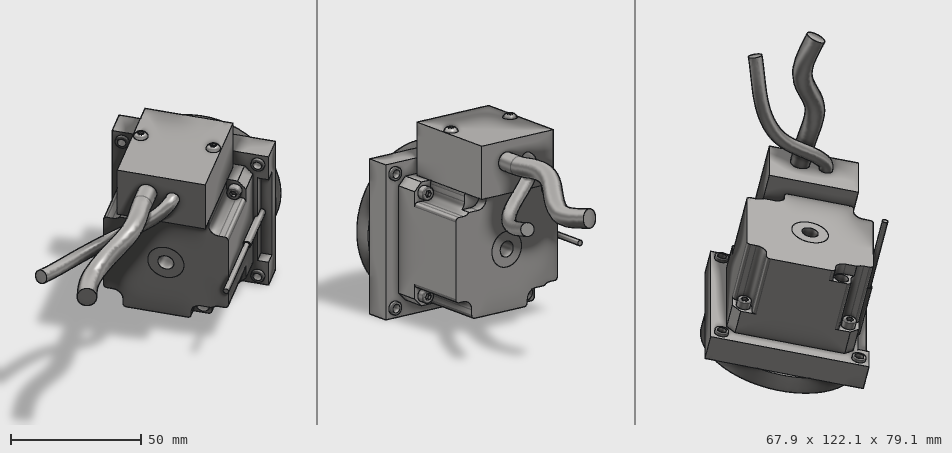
import cadquery as cq
import math


disc_radius = 31.2
disc_thickness = 7.1
neck_radius = 16.9
neck_length = 0.9
shaft_radius = 7.2
bore_radius = 3.2

plate_side = 2 * disc_radius
plate_thickness = 10.1
plate_hole_place = 27.0
plate_hole_radius = 1.7
collar_radius = 2.7
collar_height = 1.3
collar_rounding = 0.2

recess_inner_x = 26.8
recess_height = 40.1
recess_depth = 4.9

motor_side = 49.7
flange_length = 9.9
flange_chamfer = 3.3
core_length = 25.5

pocket_wall = 17.1
pocket_corner_radius = 4.0
pocket_lip_radius = 1.5

notch_depth = 4.5
notch_side_x = 10.0
notch_wall_z = 18.2
wire_hole_x = 13.4
wire_hole_z = -21.5
wire_hole_radius = 2.7
wire_hole_depth = 4.5

screw_place = 20.6
screw_radius = 2.7
screw_height = 3.2
screw_rounding = 0.4
screw_hex_width = 2.5
screw_hex_depth = 1.5

box_width = 35.0
box_length = 40.2
box_height = 21.4
box_front_offset = 2.0

button_place_x = 14.4
button_place_y = -37.3
button_radius = 2.8
button_top_radius = 1.2
button_height = 1.6
button_shoulder_radius = 2.2
button_shoulder_height = 1.0
button_hex_width = 2.0
button_hex_depth = 1.0

power_cable_radius = 3.8
power_cable_straight = 7.3
signal_cable_radius = 2.7

sensor_x = 27.0
sensor_radius = 1.6
sensor_tip_height = 0.4
sensor_body_length = 16.5
sensor_lead_radius = 1.1
sensor_lead_length = 30.2

disc_back_y = -disc_thickness
plate_front_y = disc_back_y - neck_length
plate_rear_y = plate_front_y - plate_thickness
flange_rear_y = plate_rear_y - flange_length
core_rear_y = flange_rear_y - core_length
box_front_y = plate_rear_y - box_front_offset
box_rear_y = box_front_y - box_length

motor_half = motor_side / 2
corner_signs = [(sx, sz) for sx in (-1, 1) for sz in (-1, 1)]
notched_corners = [(-1, 1), (1, -1)]

power_cable_x = -5.5
power_cable_z = 37.9
power_bend_y = box_rear_y - power_cable_straight
power_cable_path = [
    (power_cable_x, power_bend_y, power_cable_z),
    (-4.8, -77.0, 38.6),
    (-5.1, -84.9, 38.0),
    (-11.2, -97.0, 32.9),
    (-14.9, -106.9, 29.5),
    (-12.8, -121.0, 31.0),
]
power_cable_end = (0.24, -1, 0.16)
signal_cable_path = [
    (4.6, box_rear_y, 37.0),
    (2.2, -65.4, 34.6),
    (-5.3, -70.6, 29.9),
    (-17.5, -77.9, 24.4),
    (-26.1, -88.9, 23.2),
    (-34.2, -109.7, 28.0),
]
signal_cable_end = (-0.4, -1, 0.3)


def looking_rear(y):
    """Workplane at the given Y whose extrusions run towards -Y; local x is X, local y is Z."""
    return cq.Workplane("XZ", origin=(0, y, 0))


def hexagon_diameter(width):
    """Diameter across the corners of a hexagon with the given width across its flats."""
    return width / math.cos(math.pi / 6)


def make_rotor():
    """Faceplate, neck and a hollow shaft that ends flush with the rear of the motor."""
    rotor = looking_rear(0).circle(disc_radius).extrude(disc_thickness)
    rotor = rotor.union(looking_rear(disc_back_y).circle(neck_radius).extrude(neck_length))
    rotor = rotor.union(looking_rear(0).circle(shaft_radius).extrude(-core_rear_y))
    return rotor.cut(looking_rear(0).circle(bore_radius).extrude(-core_rear_y))


def make_plate():
    """Square mounting plate with a recess at its +X edge and collared corner holes."""
    plate = looking_rear(plate_front_y).rect(plate_side, plate_side).extrude(plate_thickness)
    recess_width = plate_side / 2 - recess_inner_x
    recess = (
        looking_rear(plate_rear_y + recess_depth)
        .center(recess_inner_x + recess_width / 2, 0)
        .rect(recess_width, recess_height)
        .extrude(recess_depth)
    )
    plate = plate.cut(recess)
    hole_places = [(sx * plate_hole_place, sz * plate_hole_place) for sx, sz in corner_signs]
    collars = (
        looking_rear(plate_rear_y)
        .pushPoints(hole_places)
        .circle(collar_radius)
        .extrude(collar_height)
        .faces("<Y")
        .edges()
        .fillet(collar_rounding)
    )
    holes = (
        looking_rear(plate_front_y)
        .pushPoints(hole_places)
        .circle(plate_hole_radius)
        .extrude(plate_thickness + collar_height)
    )
    return plate.union(collars).cut(holes)


def corner_cutter(wall_x, wall_z, front_y, length):
    """Cutter for the (+X, +Z) corner of the core: a rounded inner corner and rounded lips."""
    arc_middle = 1 - math.sqrt(0.5)
    lip = pocket_lip_radius
    lip_middle = lip * arc_middle
    inner = pocket_corner_radius
    inner_middle = inner * arc_middle
    return (
        looking_rear(front_y)
        .moveTo(motor_half, motor_half)
        .lineTo(wall_x - lip, motor_half)
        .threePointArc((wall_x - lip_middle, motor_half - lip_middle), (wall_x, motor_half - lip))
        .lineTo(wall_x, wall_z + inner)
        .threePointArc((wall_x + inner_middle, wall_z + inner_middle), (wall_x + inner, wall_z))
        .lineTo(motor_half - lip, wall_z)
        .threePointArc((motor_half - lip_middle, wall_z - lip_middle), (motor_half, wall_z - lip))
        .close()
        .extrude(length)
    )


def mirrored_to(shape, sx, sz):
    """Mirror a shape made for the (+X, +Z) corner into the corner with the given signs."""
    if sx < 0:
        shape = shape.mirror("YZ")
    if sz < 0:
        shape = shape.mirror("XY")
    return shape


def make_motor():
    """Chamfered flange and a square core with pocketed corners and two wire notches."""
    flange = (
        looking_rear(plate_rear_y)
        .rect(motor_side, motor_side)
        .extrude(flange_length)
        .edges("|Y")
        .chamfer(flange_chamfer)
    )
    core = looking_rear(flange_rear_y).rect(motor_side, motor_side).extrude(core_length)
    for sx, sz in corner_signs:
        pocket = corner_cutter(pocket_wall, pocket_wall, flange_rear_y, core_length)
        core = core.cut(mirrored_to(pocket, sx, sz))
    for sx, sz in notched_corners:
        notch = corner_cutter(notch_side_x, notch_wall_z, core_rear_y + notch_depth, notch_depth)
        core = core.cut(mirrored_to(notch, sx, sz))
    wire_hole = (
        looking_rear(core_rear_y + notch_depth + wire_hole_depth)
        .center(wire_hole_x, wire_hole_z)
        .circle(wire_hole_radius)
        .extrude(wire_hole_depth)
    )
    return flange.union(core.cut(wire_hole))


def make_flange_screw(x, z):
    """Round screw head with a hexagon socket, standing on the rear of the flange."""
    head = looking_rear(flange_rear_y).center(x, z).circle(screw_radius).extrude(screw_height)
    head = head.faces("<Y").edges().fillet(screw_rounding)
    socket = (
        looking_rear(flange_rear_y - screw_height + screw_hex_depth)
        .center(x, z)
        .polygon(6, hexagon_diameter(screw_hex_width))
        .extrude(screw_hex_depth)
    )
    return head.cut(socket)


def make_box():
    """Terminal box on top of the motor, overhanging its rear end."""
    box = cq.Workplane("XY").box(box_width, box_length, box_height, centered=(True, False, False))
    return box.translate((0, box_rear_y, motor_half))


def make_button_screw(x):
    """Domed screw head with a hexagon socket, standing on the terminal box."""
    dome = (
        cq.Workplane("XZ")
        .lineTo(button_radius, 0)
        .threePointArc((button_shoulder_radius, button_shoulder_height), (button_top_radius, button_height))
        .lineTo(0, button_height)
        .close()
        .revolve(360, (0, 0, 0), (0, 1, 0))
    )
    socket = (
        cq.Workplane("XY", origin=(0, 0, button_height - button_hex_depth))
        .polygon(6, hexagon_diameter(button_hex_width))
        .extrude(button_hex_depth)
    )
    return dome.cut(socket).translate((x, button_place_y, motor_half + box_height))


def make_cable(radius, points, end_direction):
    """Round cable along a smooth curve that leaves the terminal box square to its face."""
    tangents = [cq.Vector(0, -1, 0), cq.Vector(*end_direction).normalized()]
    path = cq.Workplane("XY").spline(points, tangents=tangents, scale=False)
    start_x, start_y, start_z = points[0]
    return looking_rear(start_y).center(start_x, start_z).circle(radius).sweep(path)


def make_sensor():
    """Round sensor through the mounting plate, with a thinner lead at its rear."""
    sensor = (
        looking_rear(plate_front_y + sensor_tip_height)
        .center(sensor_x, 0)
        .circle(sensor_radius)
        .extrude(sensor_tip_height + plate_thickness + sensor_body_length)
    )
    lead = (
        looking_rear(plate_rear_y - sensor_body_length)
        .center(sensor_x, 0)
        .circle(sensor_lead_radius)
        .extrude(sensor_lead_length)
    )
    return sensor.union(lead)


def make_stator():
    """All the fixed parts as one solid, with a through hole for the rotor's shaft."""
    stator = make_plate().union(make_motor())
    for sx, sz in corner_signs:
        stator = stator.union(make_flange_screw(sx * screw_place, sz * screw_place))
    stator = stator.union(make_box())
    for sx in (-1, 1):
        stator = stator.union(make_button_screw(sx * button_place_x))
    power_exit = (
        looking_rear(box_rear_y)
        .center(power_cable_x, power_cable_z)
        .circle(power_cable_radius)
        .extrude(power_cable_straight)
    )
    stator = stator.union(power_exit)
    stator = stator.union(make_cable(power_cable_radius, power_cable_path, power_cable_end))
    stator = stator.union(make_cable(signal_cable_radius, signal_cable_path, signal_cable_end))
    stator = stator.union(make_sensor())
    shaft_hole = looking_rear(plate_front_y).circle(shaft_radius).extrude(plate_front_y - core_rear_y)
    return stator.cut(shaft_hole)


rotor = make_rotor()
stator = make_stator()
result = cq.Compound.makeCompound([rotor.val(), *stator.vals()])